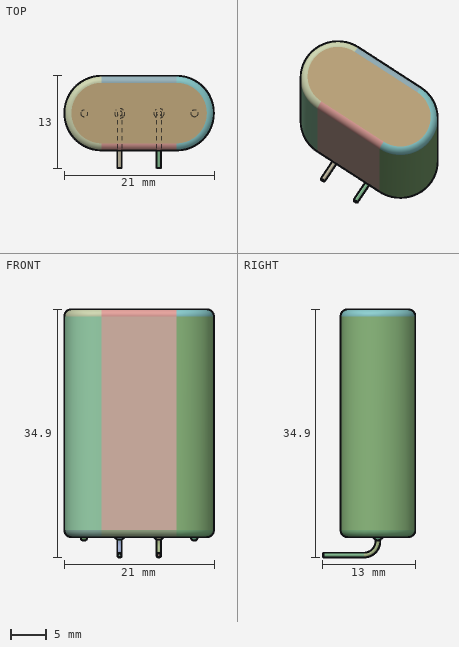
import cadquery as cq

body_width = 21.0
body_depth = 10.52
body_height = 32.0
edge_radius = 1.0

lead_spacing = 5.5
lead_radius = 0.35
lead_tip_y = -7.75
tip_chamfer = 0.1
total_height = 34.85
lead_drop = total_height - body_height - lead_radius
straight_drop = 0.52
collar_height = 0.35
collar_radius = 0.7
bend_radius = lead_drop - straight_drop

foot_spacing = 15.47
foot_radius = 0.5


def make_body():
    block = cq.Workplane("XY").slot2D(body_width, body_depth).extrude(body_height)
    return block.faces("<Z or >Z").edges().fillet(edge_radius)


def make_lead(x):
    """Wire leaving the base downwards and bending towards -Y, with a tapered collar at the base."""
    path = (
        cq.Workplane("YZ", origin=(x, 0, 0))
        .moveTo(0, edge_radius)
        .lineTo(0, -straight_drop)
        .radiusArc((-bend_radius, -lead_drop), bend_radius)
        .lineTo(lead_tip_y, -lead_drop)
    )
    wire = cq.Workplane("XY", origin=(x, 0, edge_radius)).circle(lead_radius).sweep(path)
    wire = wire.faces("<Y").edges().chamfer(tip_chamfer)
    collar = cq.Solid.makeCone(
        collar_radius, lead_radius, collar_height, cq.Vector(x, 0, 0), cq.Vector(0, 0, -1)
    )
    return wire.union(cq.Workplane(collar))


def make_foot(x):
    return cq.Workplane("XY", origin=(x, 0, 0)).sphere(foot_radius)


result = make_body()
for side in (-1, 1):
    result = result.union(make_lead(side * lead_spacing / 2))
    result = result.union(make_foot(side * foot_spacing / 2))